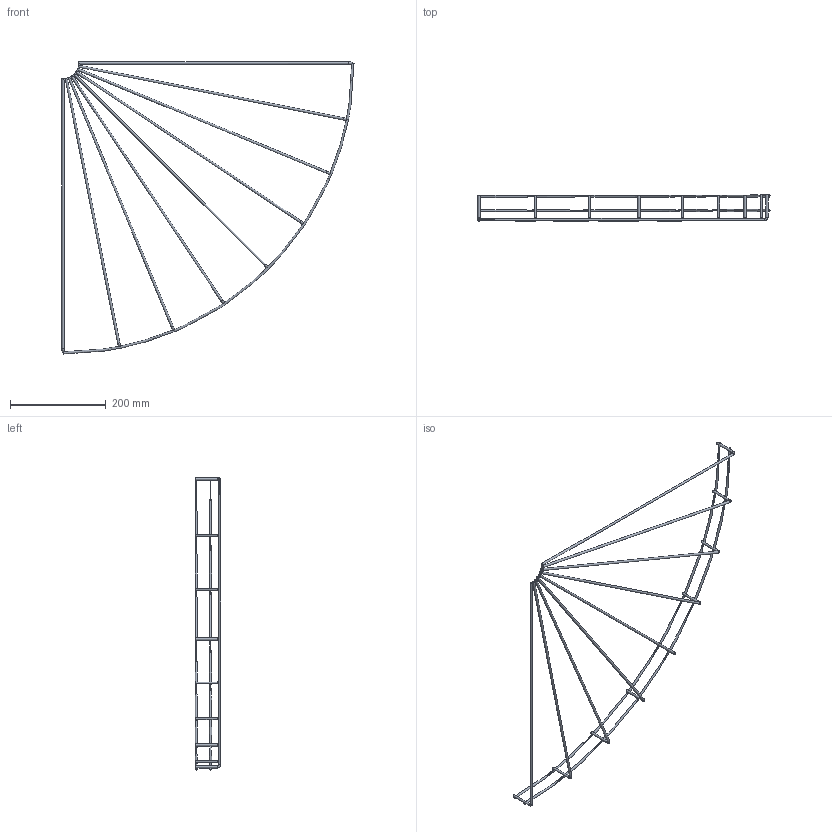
import cadquery as cq
import math


OVERALL_SPAN = 610.55
OVERALL_DEPTH = 54.1

WIRE_DIAMETER = 4.6
WIRE_RADIUS = WIRE_DIAMETER / 2
INNER_ARC_DIAMETER = 4.0
BEND_RADIUS = 5.0
WELD_OVERLAP = 0.5

SWEEP_ANGLE = 90.0
RADIAL_WIRE_COUNT = 9
ANGLE_STEP = SWEEP_ANGLE / (RADIAL_WIRE_COUNT - 1)
SPOKE_START_RADIUS = 32.5
INNER_ARC_RADIUS = 34.5
RIM_ARC_SPACING = 30.0

RIM_ARC_RADIUS = OVERALL_SPAN - WIRE_DIAMETER
LEG_RADIUS = RIM_ARC_RADIUS - WIRE_DIAMETER + WELD_OVERLAP
SPOKE_Y = WIRE_RADIUS
END_RIM_Y = OVERALL_DEPTH - WIRE_RADIUS
MIDDLE_RIM_Y = END_RIM_Y - RIM_ARC_SPACING


def radial_wire(angle):
    """A spoke whose outer end bends into a leg along +Y, turned by the angle from +X toward -Z."""
    bend_start = LEG_RADIUS - BEND_RADIUS
    bend_end_y = SPOKE_Y + BEND_RADIUS
    half_bend = BEND_RADIUS * math.sqrt(0.5)
    path = (
        cq.Workplane("XY")
        .moveTo(SPOKE_START_RADIUS, SPOKE_Y)
        .lineTo(bend_start, SPOKE_Y)
        .threePointArc((bend_start + half_bend, bend_end_y - half_bend), (LEG_RADIUS, bend_end_y))
        .lineTo(LEG_RADIUS, OVERALL_DEPTH)
    )
    section = cq.Workplane("YZ", origin=(SPOKE_START_RADIUS, SPOKE_Y, 0)).circle(WIRE_RADIUS)
    return section.sweep(path).rotate((0, 0, 0), (0, 1, 0), angle)


def arc_wire(radius, y, diameter):
    """A round wire curved about the fan axis from the +X spoke to the -Z spoke."""
    section = cq.Workplane("XY", origin=(radius, y, 0)).circle(diameter / 2)
    return section.revolve(SWEEP_ANGLE, (-radius, 0), (-radius, 1))


result = arc_wire(INNER_ARC_RADIUS, SPOKE_Y, INNER_ARC_DIAMETER)

for index in range(RADIAL_WIRE_COUNT):
    result = result.union(radial_wire(index * ANGLE_STEP))

for rim_y in (MIDDLE_RIM_Y, END_RIM_Y):
    result = result.union(arc_wire(RIM_ARC_RADIUS, rim_y, WIRE_DIAMETER))